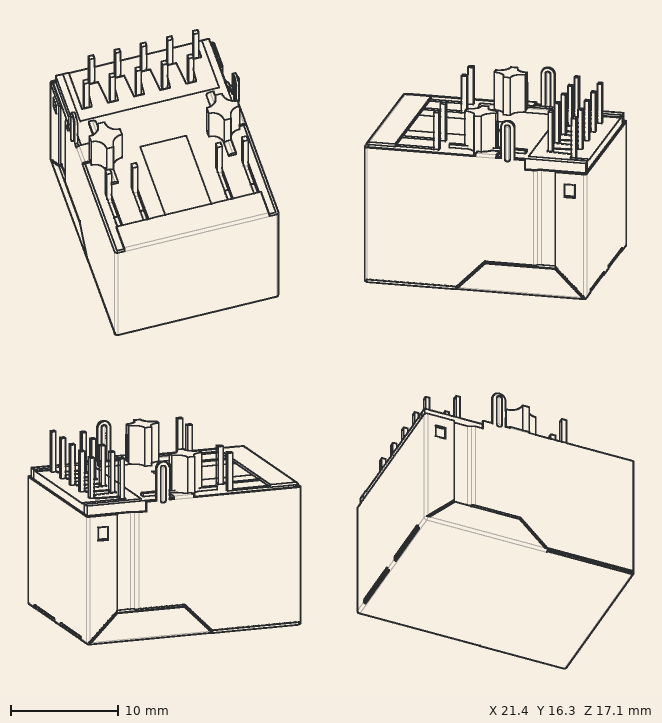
import cadquery as cq
import math


length = 21.35
half_width = 7.98
sheet = 0.25
rear_sheet = 0.17
bend = 0.25
top = 13.32
post_top = 17.04
pitch = 2.55

side_inner = half_width - sheet
lapped_inner = side_inner - sheet
front_inner = length - sheet
strip_top = top + sheet
sides = (-1, 1)
overcut = 0.21

rear_top = 12.38
rear_cut_end = 5.91
flap_end = 2.99
joggle_start, joggle_end = 4.4, 5.1
strip_start = 18.6
strip_half = 7.05

tab_start, tab_end = 8.67, 10.65
tab_inner = 6.66

skirt_top = 3.05
skirt_left, skirt_right = 2.99, 9.71
skirt_gap = 0.23
lap_gap = 0.06
seam = 0.06
floor_inset = 0.13

window_inner, window_outer = 0.8, 6.25
window_height = 0.45
window_corner = 0.13

latch_x0, latch_x1 = 1.09, 2.1
latch_z0, latch_z1 = 10.0, 11.27
ramp_gap = 0.15
ramp_sill = 0.09
ramp_rise = 0.13

ground_x = 7.55
ground_width = 1.28
ridge_width = 0.51
ridge_z0, ridge_z1 = 13.09, 16.67
ridge_rise = 0.181
ridge_round = 0.13

base_chamfer = 0.21
recess_end = 10.38
post_x, post_y = 10.63, 5.72
post_reach = 1.5
lobe_half = 0.35
waist = 0.66
crush_reach = 0.09
crush_width = 0.43
crush_top = 16.05
tab_clearance = 0.05

rib_x0, rib_x1 = 6.3, 13.65
rib_width = 0.73
rib_height = 0.3
rib_round = 0.38

module_end = 5.83
module_half = 6.77
pocket_depth = 0.075
pocket_half = 6.2
pocket_shallow, pocket_deep = 1.96, 4.5
notch_tip_half, notch_root_half = 0.5, 0.7
pins_per_row = 5
pin_x, pin_y = 0.4, 0.5
pin_top = 17.12
rear_row_x = 1.7
first_pin_y = 5.72

lamp_y = 5.38
lamp_width = 2.97
lamp_start = 16.95
lamp_depth = 0.53
lamp_height = 1.92
lead_size = 0.5
lead_start = 14.41
lead_top = 16.95
lead_bend = 0.25
leg_depth = 0.65
groove_depth = leg_depth + lead_size

insert_start = 10.25
insert_half = 2.25
insert_depth = 0.65


def block(x0, x1, y0, y1, z0, z1):
    """Box given by its limits along each axis."""
    return cq.Workplane("XY").box(x1 - x0, y1 - y0, z1 - z0, centered=False).translate((x0, y0, z0))


def side_block(side, x0, x1, y0, y1, z0, z1):
    """Box on one side of the part, with y0 < y1 as distances from Y = 0."""
    near, far = sorted((side * y0, side * y1))
    return block(x0, x1, near, far, z0, z1)


def side_prism(side, points, y0, y1):
    """X-Z polygon extruded between two distances from Y = 0 on one side."""
    profile = cq.Workplane("XZ", origin=(0, side * y0, 0)).polyline(points).close()
    return profile.extrude(-side * (y1 - y0))


def skirt_outline(drop):
    """Trapezoid opening outline, lowered by drop, with 45 degree ends."""
    upper = skirt_top - drop
    return [
        (skirt_left - upper + sheet, sheet),
        (skirt_left, upper),
        (skirt_right, upper),
        (skirt_right + upper - sheet, sheet),
    ]


def side_opening(side):
    """Gap around the trapezoid skirt that is folded up from the bottom sheet."""
    opening = side_prism(side, skirt_outline(0), lapped_inner, half_width + overcut)
    skirt = side_prism(side, skirt_outline(skirt_gap), side_inner, half_width + overcut)
    return opening.cut(skirt)


def folded_top():
    """Parts of the top sheet that stay: the front strip and two retaining tabs."""
    kept = block(strip_start, length, -strip_half, strip_half, top, strip_top)
    for side in sides:
        tab = side_block(side, tab_start, tab_end, tab_inner, half_width, top, strip_top)
        clearance = (
            cq.Workplane("XY", origin=(post_x, side * post_y, top))
            .circle(post_reach + tab_clearance)
            .extrude(sheet)
        )
        kept = kept.union(tab.cut(clearance))
    return kept


def lapped_panel(side):
    """Inner end of a side panel: joggled in by one sheet, running under the rear flap."""
    run = (joggle_end - joggle_start) / 2
    drop = sheet / 2
    turn = 2 * math.atan(drop / run)
    radius = run / math.sin(turn)
    arc_run = radius * math.sin(turn / 2)
    arc_drop = radius * (1 - math.cos(turn / 2))

    def face(y):
        """End points and arc mid points of the S-bend whose outer straight lies at y."""
        return [
            (joggle_end, y),
            (joggle_end - arc_run, y - arc_drop),
            (joggle_end - run, y - drop),
            (joggle_start + arc_run, y - sheet + arc_drop),
            (joggle_start, y - sheet),
        ]

    outer = face(half_width)
    inner = face(side_inner)
    profile = (
        cq.Workplane("XY", origin=(0, 0, sheet))
        .moveTo(*outer[0])
        .threePointArc(outer[1], outer[2])
        .threePointArc(outer[3], outer[4])
        .lineTo(rear_sheet + lap_gap, side_inner)
        .lineTo(rear_sheet + lap_gap, lapped_inner)
        .lineTo(*inner[4])
        .threePointArc(inner[3], inner[2])
        .threePointArc(inner[1], inner[0])
        .close()
    )
    panel = profile.extrude(rear_top - sheet)
    if side < 0:
        panel = panel.mirror("XZ")
    return panel.cut(side_prism(side, skirt_outline(0), lapped_inner - overcut, half_width + overcut))


def latch_ramp(side):
    """Sloped catch on the lapped panel, inside the latch window."""
    profile = [
        (latch_x0 + ramp_gap, side * side_inner),
        (latch_x1, side * side_inner),
        (latch_x1, side * (side_inner + ramp_rise)),
    ]
    ramp = cq.Workplane("XY", origin=(0, 0, latch_z0 + ramp_sill)).polyline(profile).close()
    return ramp.extrude(latch_z1 - latch_z0 - ramp_sill)


def ground_ridge(side):
    """Rounded ridge standing on the outer face of a ground tab."""
    return (
        cq.Workplane("XZ", origin=(ground_x, side * half_width, (ridge_z0 + ridge_z1) / 2))
        .slot2D(ridge_z1 - ridge_z0, ridge_width, 90)
        .extrude(-side * ridge_rise)
        .faces(">Y" if side > 0 else "<Y")
        .edges()
        .fillet(ridge_round)
    )


def ground_tab(side):
    """Round-ended solder tab rising from a side panel, stiffened by a stamped ridge."""
    radius = ground_width / 2
    shoulder = post_top - radius
    root = top - overcut
    blade = side_block(
        side, ground_x - radius, ground_x + radius, side_inner, half_width, root, shoulder
    )
    tip = (
        cq.Workplane("XZ", origin=(ground_x, side * side_inner, shoulder))
        .circle(radius)
        .extrude(-side * sheet)
    )
    return blade.union(tip).union(ground_ridge(side))


def make_shield():
    shell = block(0, length, -half_width, half_width, 0, strip_top).edges().fillet(bend)
    shell = shell.cut(block(rear_sheet, front_inner, -side_inner, side_inner, sheet, top))

    lid = block(0, length, -half_width, half_width, top, strip_top)
    shell = shell.cut(lid.cut(folded_top()))
    shell = shell.cut(block(0, rear_cut_end, -half_width, half_width, rear_top, strip_top))

    skirt_end = skirt_right + skirt_top - sheet
    floor_half = half_width - floor_inset
    for side in sides:
        shell = shell.cut(side_block(side, skirt_end, front_inner, floor_half, half_width, 0, sheet))
    shell = shell.union(block(skirt_end, front_inner, -floor_half, floor_half, 0, sheet))

    for side in sides:
        shell = shell.cut(side_block(side, flap_end, joggle_end, side_inner, half_width, skirt_top, rear_top))
        shell = shell.cut(side_opening(side))
        shell = shell.cut(
            side_block(side, skirt_end, front_inner, side_inner, half_width, sheet, sheet + seam)
        )
        shell = shell.cut(
            side_block(side, latch_x0, latch_x1, side_inner, half_width, latch_z0, latch_z1)
        )
        shell = shell.cut(
            side_block(side, rear_sheet, flap_end, side_inner, side_inner + lap_gap, sheet, rear_top)
        )
        window = side_block(side, 0, rear_sheet, window_inner, window_outer, 0, window_height)
        shell = shell.cut(window.edges("|X and >Z").chamfer(window_corner))
        shell = shell.union(lapped_panel(side))
        shell = shell.union(latch_ramp(side))
        shell = shell.union(ground_tab(side))
        shell = shell.cut(ground_ridge(side).translate((0, -side * sheet, 0)))
    return shell


def post(side):
    """Four-lobed locating post with a small crush rib on its rear lobe."""
    r, h, w = post_reach, lobe_half, waist
    star = (
        cq.Workplane("XY", origin=(post_x, side * post_y, top))
        .moveTo(r, -h)
        .lineTo(r, h)
        .threePointArc((w, w), (h, r))
        .lineTo(-h, r)
        .threePointArc((-w, w), (-r, h))
        .lineTo(-r, -h)
        .threePointArc((-w, -w), (-h, -r))
        .lineTo(h, -r)
        .threePointArc((w, -w), (r, -h))
        .close()
        .extrude(post_top - top)
    )
    rear_tip = post_x - post_reach
    crush_rib = block(
        rear_tip - crush_reach,
        rear_tip,
        side * post_y - crush_width / 2,
        side * post_y + crush_width / 2,
        top,
        crush_top,
    )
    return star.union(crush_rib)


def standoff_rib(side):
    """Low rib through the post, rounded along its inner upper edge."""
    y0 = post_y - rib_width / 2
    rib_top = top + rib_height
    rib = side_block(side, rib_x0, rib_x1, y0, y0 + rib_width, rib_top - rib_width, rib_top)
    inner_edge = "<Y" if side > 0 else ">Y"
    return rib.faces(">Z").edges(inner_edge).fillet(rib_round)


def make_module():
    """Pin carrier with a shallow zigzag pocket, open to the rear, and two staggered pin rows."""
    module = block(rear_sheet, module_end, -module_half, module_half, rear_top, top)
    outline = [(rear_sheet, pocket_half)]
    for i in range(pins_per_row):
        notch_y = first_pin_y - pitch / 2 - i * pitch
        outline.append((pocket_shallow, pocket_half if i == 0 else notch_y + pitch - notch_root_half))
        outline.append((pocket_shallow, notch_y + notch_root_half))
        outline.append((pocket_deep, notch_y + notch_tip_half))
        last = i == pins_per_row - 1
        outline.append((pocket_deep, -pocket_half if last else notch_y - notch_tip_half))
    outline.append((rear_sheet, -pocket_half))
    floor = top - pocket_depth
    module = module.cut(
        cq.Workplane("XY", origin=(0, 0, floor)).polyline(outline).close().extrude(pocket_depth)
    )

    for i in range(pins_per_row):
        rear_y = first_pin_y - i * pitch
        for x, y in ((rear_row_x, rear_y), (rear_row_x + pitch, rear_y - pitch / 2)):
            pin = block(
                x - pin_x / 2, x + pin_x / 2, y - pin_y / 2, y + pin_y / 2, floor, pin_top
            )
            module = module.union(pin)
    return module


def lead_centres(side):
    return [side * lamp_y - pitch / 2, side * lamp_y + pitch / 2]


def make_lamp(side):
    """Rectangular lamp with two leads that run rearward and turn up."""
    lamp = side_block(
        side,
        lamp_start,
        front_inner,
        lamp_y - lamp_width / 2,
        lamp_y + lamp_width / 2,
        top - lamp_depth - lamp_height,
        top - lamp_depth,
    )
    pin_face = lead_start + lead_size
    leg_top = top - leg_depth
    for y in lead_centres(side):
        lead = (
            cq.Workplane("XZ", origin=(0, y + lead_size / 2, 0))
            .moveTo(lead_start, top - groove_depth)
            .lineTo(lamp_start, top - groove_depth)
            .lineTo(lamp_start, leg_top)
            .lineTo(pin_face + lead_bend, leg_top)
            .radiusArc((pin_face, leg_top + lead_bend), lead_bend)
            .lineTo(pin_face, lead_top)
            .lineTo(lead_start, lead_top)
            .close()
            .extrude(lead_size)
        )
        lamp = lamp.union(lead)
    return lamp


def lead_grooves(side):
    """Open channels above the two leads of one lamp."""
    grooves = cq.Workplane("XY")
    for y in lead_centres(side):
        groove = block(
            lead_start, front_inner, y - lead_size / 2, y + lead_size / 2, top - groove_depth, top
        )
        grooves = grooves.add(groove)
    return grooves.combine()


def make_insert():
    return block(insert_start, front_inner, -insert_half, insert_half, top - insert_depth, top)


def make_housing(fitted_bodies):
    """Solid core with posts and ribs, cut to receive the fitted bodies."""
    core = block(rear_sheet, front_inner, -side_inner, side_inner, sheet, top)
    core = core.faces("<X").edges("<Z").chamfer(base_chamfer)
    for side in sides:
        core = core.cut(side_block(side, rear_sheet, recess_end, lapped_inner, side_inner, sheet, top))
        core = core.union(post(side)).union(standoff_rib(side))
        core = core.cut(lead_grooves(side))
    core = core.cut(block(rear_sheet, module_end, -module_half, module_half, rear_top, top))
    for body in fitted_bodies:
        core = core.cut(body)
    return core


shield = make_shield()
module = make_module()
insert = make_insert()
lamps = [make_lamp(side) for side in sides]
housing = make_housing([insert, *lamps])

bodies = [shield, housing, module, insert, *lamps]
result = cq.Compound.makeCompound([body.solids().val() for body in bodies])